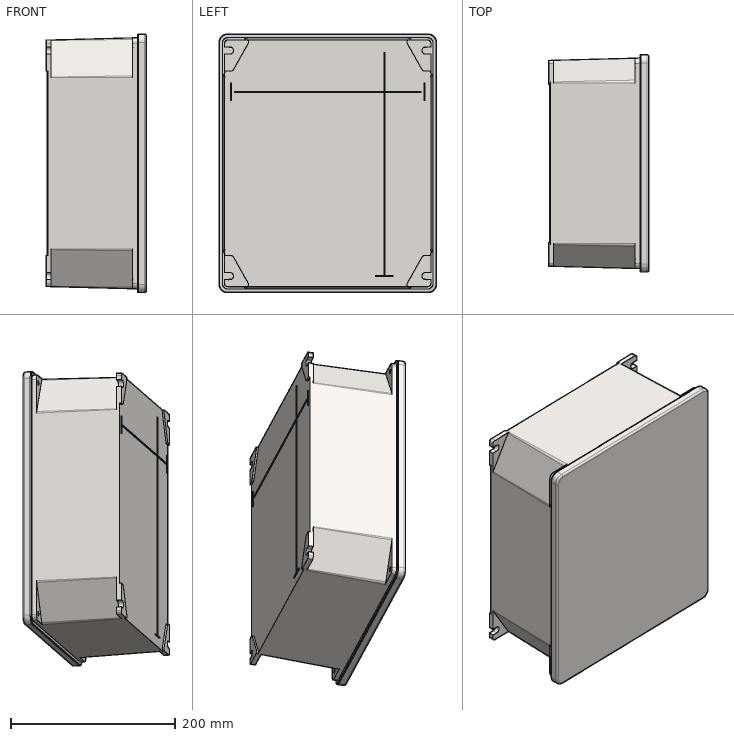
import cadquery as cq
import math

DEPTH = 122.0
WIDTH = 264.5
HEIGHT = 314.5

LID_THICKNESS = 11.0
LID_CORNER_RADIUS = 10.0
LID_FRONT_FILLET = 2.5
LID_BACK_CHAMFER_DEPTH = 1.3
LID_BACK_CHAMFER_INSET = 0.5
LID_OVERHANG_Y = 4.0
LID_OVERHANG_Z = 4.5

HOUSING_DEPTH = DEPTH - LID_THICKNESS
RIM_WIDTH = WIDTH - 2 * LID_OVERHANG_Y
RIM_HEIGHT = HEIGHT - 2 * LID_OVERHANG_Z
RIM_CORNER_RADIUS = 6.5
DRAFT_ANGLE = 1.5
DRAFT_SLOPE = math.tan(math.radians(DRAFT_ANGLE))
BACK_HALF_WIDTH = RIM_WIDTH / 2 - HOUSING_DEPTH * DRAFT_SLOPE
BACK_HALF_HEIGHT = RIM_HEIGHT / 2 - HOUSING_DEPTH * DRAFT_SLOPE

BACK_PLATE_THICKNESS = 6.3
FLANGE_THICKNESS = 5.7
FLANGE_BACK = HOUSING_DEPTH - FLANGE_THICKNESS
CORE_HALF_WIDTH = RIM_WIDTH / 2 - FLANGE_THICKNESS * DRAFT_SLOPE
CORE_HALF_HEIGHT = RIM_HEIGHT / 2 - FLANGE_THICKNESS * DRAFT_SLOPE
CORE_SLANT_Y = 100.0
CORE_SLANT_Z = 105.5
CORE_RADIUS = 4.0

FOOT_HEIGHT = 2.2
FOOT_TIP_Y = 94.5
FOOT_BEND_Y = 115.7
FOOT_BOTTOM_Z = 112.0
FOOT_TIP_RADIUS = 2.5
FOOT_BEND_RADIUS = 4.7
SLOT_WIDTH = 8.5
SLOT_LENGTH = 10.7
SLOT_Z = 137.0

SCREW_HOLE_DIAMETER = 5.0
SCREW_HOLE_INSET = 9.5

MARK_HEIGHT = 1.0
MARK_WIDTH = 1.0
WIDTH_MARK_Z = 86.8
WIDTH_MARK_HALF_LENGTH = 113.2
WIDTH_MARK_END_Y = 117.5
HEIGHT_MARK_Y = -69.0
HEIGHT_MARK_HALF_LENGTH = 135.0
HEIGHT_MARK_END_Z = -137.0
END_BAR_LENGTH = 21.5

QUADRANTS = [(1, 1), (-1, 1), (-1, -1), (1, -1)]
PAST_EDGE = 9.5


def yz_plane(x):
    """Sketch plane at depth x with sketch axes +Y and +Z and normal +X."""
    return cq.Workplane("YZ", origin=(x, 0, 0))


def tapered_towards_back(sketch, x_start, length):
    """Extrusion from x_start in -X that shrinks with the draft angle."""
    plane = cq.Plane(origin=(x_start, 0, 0), xDir=(0, -1, 0), normal=(-1, 0, 0))
    return cq.Workplane(plane).placeSketch(sketch).extrude(length, taper=DRAFT_ANGLE)


def make_block():
    """Tapered block with rounded corners, largest at the rim."""
    rim = cq.Sketch().rect(RIM_WIDTH, RIM_HEIGHT).vertices().fillet(RIM_CORNER_RADIUS)
    return tapered_towards_back(rim, HOUSING_DEPTH, HOUSING_DEPTH)


def make_core():
    """Tapered core with slanted corners, with its bends rounded."""
    points = []
    for sign_y, sign_z in QUADRANTS:
        side_end = (sign_y * CORE_HALF_WIDTH, sign_z * CORE_SLANT_Z)
        top_end = (sign_y * CORE_SLANT_Y, sign_z * CORE_HALF_HEIGHT)
        points += [side_end, top_end] if sign_y == sign_z else [top_end, side_end]
    outline = cq.Sketch().polygon(points + points[:1]).vertices().fillet(CORE_RADIUS)
    return tapered_towards_back(outline, FLANGE_BACK, FLANGE_BACK - BACK_PLATE_THICKNESS)


def make_pockets():
    """Everything around the core, between the back plate and the flange."""
    length = FLANGE_BACK - BACK_PLATE_THICKNESS
    surround = yz_plane(BACK_PLATE_THICKNESS).rect(WIDTH, HEIGHT).extrude(length)
    return surround.cut(make_core())


def make_foot_area(sign_y, sign_z):
    """Part of the back face layer that stays as a foot, reaching past the block at the side."""
    outer_y = BACK_HALF_WIDTH + PAST_EDGE
    top_z = BACK_HALF_HEIGHT + FOOT_HEIGHT * DRAFT_SLOPE
    points = [
        (FOOT_TIP_Y, top_z),
        (FOOT_BEND_Y, FOOT_BOTTOM_Z),
        (outer_y, FOOT_BOTTOM_Z),
        (outer_y, top_z),
    ]
    mirrored = [(sign_y * y, sign_z * z) for y, z in points]
    foot = yz_plane(0).polyline(mirrored).close().extrude(FOOT_HEIGHT)
    tip_edge = cq.selectors.NearestToPointSelector((0, *mirrored[0]))
    foot = foot.edges("|X").edges(tip_edge).fillet(FOOT_TIP_RADIUS)
    bend_edge = cq.selectors.NearestToPointSelector((0, *mirrored[1]))
    return foot.edges("|X").edges(bend_edge).fillet(FOOT_BEND_RADIUS)


def make_back_recess():
    """Thin layer removed from the back face everywhere but at the feet."""
    recess = yz_plane(0).rect(WIDTH, HEIGHT).extrude(FOOT_HEIGHT)
    for sign_y, sign_z in QUADRANTS:
        recess = recess.cut(make_foot_area(sign_y, sign_z))
    return recess


def make_slot(sign_y, sign_z):
    """Mounting slot with a round end, open at the side of the foot."""
    slot = yz_plane(0).center(sign_y * BACK_HALF_WIDTH, sign_z * SLOT_Z)
    return slot.slot2D(2 * SLOT_LENGTH, SLOT_WIDTH).extrude(BACK_PLATE_THICKNESS)


def make_screw_holes():
    """Screw holes through the four flange corners."""
    spacing_y = RIM_WIDTH - 2 * SCREW_HOLE_INSET
    spacing_z = RIM_HEIGHT - 2 * SCREW_HOLE_INSET
    plane = yz_plane(FLANGE_BACK)
    holes = plane.rect(spacing_y, spacing_z, forConstruction=True).vertices()
    return holes.circle(SCREW_HOLE_DIAMETER / 2).extrude(FLANGE_THICKNESS)


def make_mark_bar(y, z, size_y, size_z):
    """Raised bar on the back face, centred at (y, z)."""
    bar = yz_plane(FOOT_HEIGHT - MARK_HEIGHT).center(y, z)
    return bar.rect(size_y, size_z).extrude(MARK_HEIGHT)


def add_marks(housing):
    """Dimension lines for the width and the height, with their end bars."""
    bars = [
        (0, WIDTH_MARK_Z, 2 * WIDTH_MARK_HALF_LENGTH, MARK_WIDTH),
        (-WIDTH_MARK_END_Y, WIDTH_MARK_Z, MARK_WIDTH, END_BAR_LENGTH),
        (WIDTH_MARK_END_Y, WIDTH_MARK_Z, MARK_WIDTH, END_BAR_LENGTH),
        (HEIGHT_MARK_Y, 0, MARK_WIDTH, 2 * HEIGHT_MARK_HALF_LENGTH),
        (HEIGHT_MARK_Y, HEIGHT_MARK_END_Z, END_BAR_LENGTH, MARK_WIDTH),
    ]
    for y, z, size_y, size_z in bars:
        housing = housing.union(make_mark_bar(y, z, size_y, size_z))
    return housing


def make_housing():
    housing = make_block().cut(make_pockets()).cut(make_back_recess())
    for sign_y, sign_z in QUADRANTS:
        housing = housing.cut(make_slot(sign_y, sign_z))
    housing = housing.cut(make_screw_holes())
    return add_marks(housing)


def make_lid():
    """Flat cover that overhangs the housing rim on all sides."""
    lid = yz_plane(HOUSING_DEPTH).rect(WIDTH, HEIGHT).extrude(LID_THICKNESS)
    lid = lid.edges("|X").fillet(LID_CORNER_RADIUS)
    lid = lid.faces(">X").edges().fillet(LID_FRONT_FILLET)
    return lid.faces("<X").chamfer(LID_BACK_CHAMFER_DEPTH, LID_BACK_CHAMFER_INSET)


housing = make_housing()
lid = make_lid()

result = cq.Compound.makeCompound([housing.val(), lid.val()])